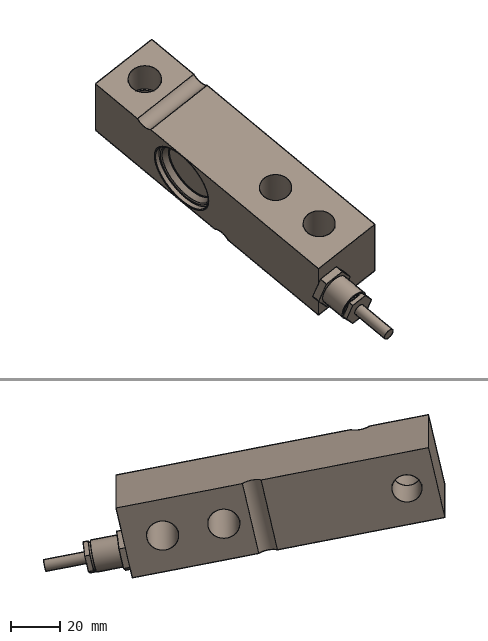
import cadquery as cq
import math

BEAM_LENGTH = 130.0
BEAM_SIZE = 32.0
BEAM_MIDDLE = BEAM_SIZE / 2

GROOVE_CHORD = 7.8
GROOVE_DEPTH = 1.7
GROOVE_RADIUS = (GROOVE_CHORD ** 2 / 4 + GROOVE_DEPTH ** 2) / (2 * GROOVE_DEPTH)
TOP_GROOVE_X = 28.4
BOTTOM_GROOVE_X = 73.5

MOUNT_HOLE_DIAMETER = 13.0
MOUNT_HOLES_X = (88.5, 114.0)
LOAD_HOLE_X = 12.4
LOAD_HOLE_DIAMETER = 12.2
LOAD_COUNTERBORE_DIAMETER = 13.5
LOAD_COUNTERBORE_DEPTH = BEAM_SIZE / 2

POCKET_X = 50.2
POCKET_MOUTH_RADIUS = 15.9
POCKET_RIM_RADIUS = 15.4
POCKET_RIM_DEPTH = 0.2
POCKET_SHELF_DEPTH = 2.1
POCKET_SHELF_RADIUS = 14.5
POCKET_EDGE_CHAMFER = 0.5
POCKET_WALL_END_RADIUS = 13.0
POCKET_FLOOR_CHAMFER = 0.3
POCKET_DEPTH = 5.6

GLAND_Y = 5.6
GLAND_Z = BEAM_MIDDLE
BASE_HEX_FLATS = 15.5
BASE_HEX_LENGTH = 3.5
BARREL_DIAMETER = 13.4
BARREL_LENGTH = 11.4
NECK_DIAMETER = 11.7
NECK_LENGTH = 0.8
CAP_HEX_FLATS = 12.4
CAP_HEX_LENGTH = 2.1
CABLE_DIAMETER = 5.0
OVERALL_LENGTH = 165.2


def groove_cutter(x, face_z, inward):
    """Cylinder along Y that leaves an arc-shaped groove; inward is +1 or -1 along Z."""
    axis_z = face_z + inward * (GROOVE_DEPTH - GROOVE_RADIUS)
    groove = cq.Workplane("XZ", origin=(x, BEAM_SIZE, axis_z))
    return groove.circle(GROOVE_RADIUS).extrude(BEAM_SIZE)


def vertical_hole_cutter(x, diameter, bottom_z=0.0):
    """Cylinder on the beam's centre line from bottom_z up to the top face."""
    hole = cq.Workplane("XY", origin=(x, BEAM_MIDDLE, bottom_z))
    return hole.circle(diameter / 2).extrude(BEAM_SIZE - bottom_z)


def pocket_cutter():
    """Half section (radius, depth) turned about the pocket's axis along Y."""
    section = [
        (0, 0),
        (POCKET_MOUTH_RADIUS, 0),
        (POCKET_RIM_RADIUS, POCKET_RIM_DEPTH),
        (POCKET_RIM_RADIUS, POCKET_SHELF_DEPTH),
        (POCKET_SHELF_RADIUS, POCKET_SHELF_DEPTH),
        (POCKET_SHELF_RADIUS - POCKET_EDGE_CHAMFER, POCKET_SHELF_DEPTH + POCKET_EDGE_CHAMFER),
        (POCKET_WALL_END_RADIUS, POCKET_DEPTH - POCKET_FLOOR_CHAMFER),
        (POCKET_WALL_END_RADIUS - POCKET_FLOOR_CHAMFER, POCKET_DEPTH),
        (0, POCKET_DEPTH),
    ]
    profile = cq.Workplane("XY", origin=(POCKET_X, 0, BEAM_MIDDLE)).polyline(section).close()
    return profile.revolve(360, (0, 0, 0), (0, 1, 0))


def make_beam():
    """Square bar with its grooves, vertical holes and side pocket."""
    beam = cq.Workplane("XY").box(BEAM_LENGTH, BEAM_SIZE, BEAM_SIZE, centered=False)
    beam = beam.cut(groove_cutter(TOP_GROOVE_X, BEAM_SIZE, -1))
    beam = beam.cut(groove_cutter(BOTTOM_GROOVE_X, 0, 1))
    for x in MOUNT_HOLES_X:
        beam = beam.cut(vertical_hole_cutter(x, MOUNT_HOLE_DIAMETER))
    beam = beam.cut(vertical_hole_cutter(LOAD_HOLE_X, LOAD_HOLE_DIAMETER))
    counterbore_z = BEAM_SIZE - LOAD_COUNTERBORE_DEPTH
    beam = beam.cut(vertical_hole_cutter(LOAD_HOLE_X, LOAD_COUNTERBORE_DIAMETER, counterbore_z))
    return beam.cut(pocket_cutter())


def gland_plane(x):
    """Plane across the gland's axis, with local x along Y and local y along Z."""
    return cq.Workplane("YZ", origin=(x, GLAND_Y, GLAND_Z))


def hexagon(x, flats, length):
    """Hexagonal prism with two corners pointing along Y and two flats facing along Z."""
    corners = flats / math.cos(math.pi / 6)
    return gland_plane(x).polygon(6, corners).extrude(length)


def make_gland():
    """Base hexagon, barrel, neck, cap hexagon and cable, stacked along X."""
    barrel_x = BEAM_LENGTH + BASE_HEX_LENGTH
    neck_x = barrel_x + BARREL_LENGTH
    cap_x = neck_x + NECK_LENGTH
    cable_x = cap_x + CAP_HEX_LENGTH

    gland = hexagon(BEAM_LENGTH, BASE_HEX_FLATS, BASE_HEX_LENGTH)
    gland = gland.union(gland_plane(barrel_x).circle(BARREL_DIAMETER / 2).extrude(BARREL_LENGTH))
    gland = gland.union(gland_plane(neck_x).circle(NECK_DIAMETER / 2).extrude(NECK_LENGTH))
    gland = gland.union(hexagon(cap_x, CAP_HEX_FLATS, CAP_HEX_LENGTH))
    cable_length = OVERALL_LENGTH - cable_x
    return gland.union(gland_plane(cable_x).circle(CABLE_DIAMETER / 2).extrude(cable_length))


beam = make_beam()
gland = make_gland()
result = cq.Compound.makeCompound([beam.solids().val(), gland.solids().val()])